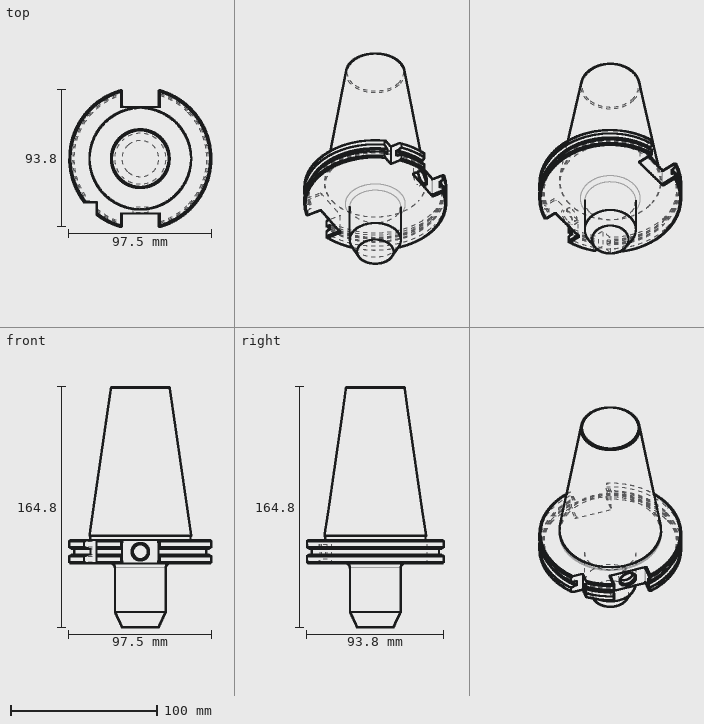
import cadquery as cq
import math

GAUGE_DIAMETER = 69.85
TAPER_LENGTH = 101.75
TAPER_RATIO = 7 / 24
END_CHAMFER = 0.75

NECK_DIAMETER = 68.85
NECK_LENGTH = 3.2
NECK_FILLET = 0.5

FLANGE_DIAMETER = 97.5
FLANGE_THICKNESS = 15.9
RIM_CHAMFER = 1.0
GROOVE_DIAMETER = 90.8
GROOVE_OPENING = 6.45
GROOVE_FLOOR_WIDTH = 3.7
GROOVE_FLANK_ANGLE = 30.0

SLOT_WIDTH = 25.0
SLOT_EDGE_CHAMFER = 0.9
SLOT_CORNER_FILLET = 0.3
FRONT_FLOOR_DISTANCE = 37.7
REAR_FLOOR_DISTANCE = 35.5

NOTCH_CORNER = 30.0

HOLE_DIAMETER = 10.2
HOLE_MOUTH_DIAMETER = 12.0
HOLE_DEPTH = 4.5
COUNTERSINK_ANGLE = 45.0

NOSE_DIAMETER = 35.0
NOSE_TIP_DIAMETER = 25.0
NOSE_CONE_LENGTH = 10.7
NOSE_END_DISTANCE = 63.0
NOSE_FILLET = 3.0

flange_top = -NECK_LENGTH
flange_bottom = flange_top - FLANGE_THICKNESS
flange_middle = (flange_top + flange_bottom) / 2
flange_radius = FLANGE_DIAMETER / 2
taper_end_radius = (GAUGE_DIAMETER - TAPER_LENGTH * TAPER_RATIO) / 2


def revolve_profile(sketch):
    """Turn a closed (radius, z) profile about the Z axis."""
    return sketch.close().revolve(360, (0, 0, 0), (0, 1, 0))


def arc_middle_offset(radius):
    """Distance from each tangent line to the middle of a quarter-circle fillet."""
    return radius * (1 - math.sqrt(0.5))


def make_shank():
    """Taper with a chamfered end, and a neck joined to it by a 45 degree bevel."""
    neck_radius = NECK_DIAMETER / 2
    neck_bevel = (GAUGE_DIAMETER - NECK_DIAMETER) / 2
    chamfer_base_radius = taper_end_radius + END_CHAMFER * TAPER_RATIO / 2
    fillet_start = flange_top + NECK_FILLET
    fillet_middle = arc_middle_offset(NECK_FILLET)
    sketch = (
        cq.Workplane("XZ")
        .moveTo(0, TAPER_LENGTH)
        .lineTo(taper_end_radius - END_CHAMFER, TAPER_LENGTH)
        .lineTo(chamfer_base_radius, TAPER_LENGTH - END_CHAMFER)
        .lineTo(GAUGE_DIAMETER / 2, 0)
        .lineTo(neck_radius, -neck_bevel)
        .lineTo(neck_radius, fillet_start)
        .threePointArc(
            (neck_radius + fillet_middle, flange_top + fillet_middle),
            (neck_radius + NECK_FILLET, flange_top),
        )
        .lineTo(neck_radius + NECK_FILLET, flange_middle)
        .lineTo(0, flange_middle)
    )
    return revolve_profile(sketch)


def make_nose():
    """Cylinder with a conical tip, filleted into the underside of the flange."""
    nose_radius = NOSE_DIAMETER / 2
    fillet_middle = arc_middle_offset(NOSE_FILLET)
    sketch = (
        cq.Workplane("XZ")
        .moveTo(0, flange_middle)
        .lineTo(nose_radius + NOSE_FILLET, flange_middle)
        .lineTo(nose_radius + NOSE_FILLET, flange_bottom)
        .threePointArc(
            (nose_radius + fillet_middle, flange_bottom - fillet_middle),
            (nose_radius, flange_bottom - NOSE_FILLET),
        )
        .lineTo(nose_radius, -NOSE_END_DISTANCE + NOSE_CONE_LENGTH)
        .lineTo(NOSE_TIP_DIAMETER / 2, -NOSE_END_DISTANCE)
        .lineTo(0, -NOSE_END_DISTANCE)
    )
    return revolve_profile(sketch)


def make_flange_disc():
    base = cq.Workplane("XY", origin=(0, 0, flange_bottom))
    disc = base.circle(flange_radius).extrude(FLANGE_THICKNESS)
    return disc.edges("%CIRCLE").chamfer(RIM_CHAMFER)


def make_gripper_groove():
    """Ring with parallel walls at the floor and sloping flanks opening towards the rim."""
    floor_radius = GROOVE_DIAMETER / 2
    half_opening = GROOVE_OPENING / 2
    half_floor = GROOVE_FLOOR_WIDTH / 2
    flank_depth = (half_opening - half_floor) / math.tan(math.radians(GROOVE_FLANK_ANGLE))
    flank_radius = flange_radius - flank_depth
    sketch = (
        cq.Workplane("XZ")
        .moveTo(floor_radius, flange_middle - half_floor)
        .lineTo(flank_radius, flange_middle - half_floor)
        .lineTo(flange_radius, flange_middle - half_opening)
        .lineTo(flange_radius, flange_middle + half_opening)
        .lineTo(flank_radius, flange_middle + half_floor)
        .lineTo(floor_radius, flange_middle + half_floor)
    )
    return revolve_profile(sketch)


def make_block(x_range, y_range):
    """Upright block through the full flange thickness."""
    size_x = x_range[1] - x_range[0]
    size_y = y_range[1] - y_range[0]
    block = cq.Workplane("XY").box(size_x, size_y, FLANGE_THICKNESS, centered=False)
    return block.translate((x_range[0], y_range[0], flange_bottom))


def cut_drive_slot(disc, side, floor_distance):
    """Cut a slot into the +Y (side = 1) or -Y (side = -1) rim, bevel its wall edges, round its corners."""
    half_width = SLOT_WIDTH / 2
    y_range = sorted((side * floor_distance, side * flange_radius))
    disc = disc.cut(make_block((-half_width, half_width), y_range))
    for wall_x in (-half_width, half_width):
        wall_middle = (wall_x, sum(y_range) / 2, flange_middle)
        corner_middle = (wall_x, side * floor_distance, flange_middle)
        corner = cq.selectors.NearestToPointSelector(corner_middle)
        wall = disc.faces(cq.selectors.NearestToPointSelector(wall_middle))
        disc = wall.edges(-corner).chamfer(SLOT_EDGE_CHAMFER)
        disc = disc.edges(corner).fillet(SLOT_CORNER_FILLET)
    return disc


def make_notch():
    return make_block((-flange_radius, -NOTCH_CORNER), (-flange_radius, -NOTCH_CORNER))


def make_hole():
    """Bore with a countersunk mouth, running inward along +Y."""
    mouth = cq.Workplane("XZ", origin=(0, -FRONT_FLOOR_DISTANCE, flange_middle))
    bore = mouth.circle(HOLE_DIAMETER / 2).extrude(-HOLE_DEPTH)
    sink_depth = (HOLE_MOUTH_DIAMETER - HOLE_DIAMETER) / 2 / math.tan(math.radians(COUNTERSINK_ANGLE))
    sink = mouth.circle(HOLE_MOUTH_DIAMETER / 2).extrude(-sink_depth, taper=COUNTERSINK_ANGLE)
    return bore.union(sink)


flange = make_flange_disc()
flange = cut_drive_slot(flange, -1, FRONT_FLOOR_DISTANCE)
flange = cut_drive_slot(flange, 1, REAR_FLOOR_DISTANCE)
flange = flange.cut(make_gripper_groove()).cut(make_notch())
result = flange.union(make_shank()).union(make_nose()).cut(make_hole())